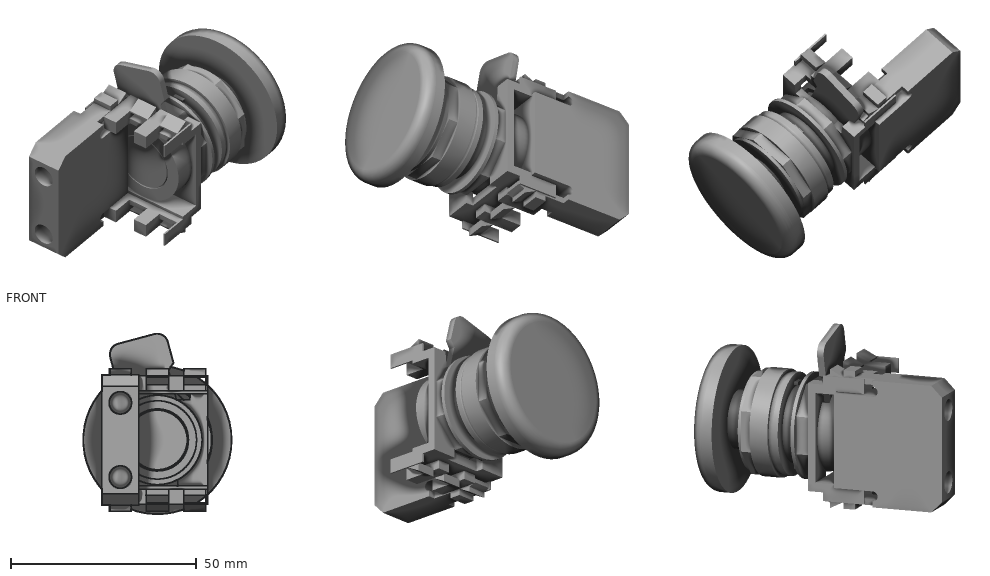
import cadquery as cq
import math


HEAD_BACK = 6.0
BEZEL_FRONT = 11.0
FLATS_FRONT = 11.95
COLLAR_FRONT = 14.8
COLLAR_BACK = 20.0
GASKET_BEVEL_END = 21.2
GASKET_BACK = 22.75
GASKET_TAB_END = 23.8
WASHER_FRONT = 26.55
NUT_FRONT = 27.55
PLATE_FRONT = 31.2
PLATE_BACK = 33.4
LEVER_FRONT = 33.6
LEVER_BACK = 35.5
CATCH_PEAK = 37.4
BLOCK_FRONT = 39.3
CATCH_END = 41.1
TIE_END = 41.3
ARM_END = 47.3
BLOCK_BACK = 70.25

HEAD_RADIUS = 19.985
HEAD_ROUND = 3.0
STEM_RADIUS = 8.0

BEZEL_APOTHEM = 13.5
COLLAR_RADIUS = 14.75
BUSHING_RADIUS = 10.55
BUSHING_BORE = 8.35

GASKET_RADIUS = 14.1
GASKET_BEVEL = 0.35
TAB_WIDTH = 3.2
TAB_OUTER = 12.0
TOP_TAB_INNER = 11.1
BOTTOM_TAB_INNER = BUSHING_RADIUS
WASHER_RADIUS = 14.55
NUT_APOTHEM = 12.6

BRACKET_HALF_WIDTH = 13.5
SHELF_INNER = 12.35
SHELF_OUTER = 14.9
ARM_INNER = 13.3
ARM_OUTER = 17.3
OUTER_FINGER_WIDTH = 0.5
FINGER_INNER_X = 3.0
FINGER_OUTER_X = 7.1
CATCH_BOTTOM = 16.85
CATCH_TOP = 19.2
HUB_RADIUS = 12.0
HUB_FLAT = 10.7
POCKET_FLOOR = 7.0
POCKET_FLOOR_HALF = 7.9
POCKET_TOP_HALF = 9.4
WINDOW_FLOOR = 10.75
WINDOW_FLOOR_HALF = 8.65
WINDOW_TOP_HALF = 9.05
KEYWAY_HALF = math.sqrt(HUB_RADIUS**2 - HUB_FLAT**2)

LEVER_TILT = 15
LEVER_LEFT = -6.5
LEVER_RIGHT = 9.55
LEVER_TOP = 27.75
LEVER_ROUND = 3.0
SHOULDER_TOP = 18.9
SHOULDER_BOTTOM = 17.3
NECK_LEFT = -4.8
NECK_RIGHT = 7.7

BLOCK_WIDTH = 10.0
BLOCK_CENTRE_X = -10.0
BLOCK_HALF_HEIGHT = 17.5
BLOCK_CHAMFER = 3.0
SLOT_INNER = 13.1
SLOT_OUTER = 15.8
SLOT_END = 51.8
TONGUE_LEFT = -12.7
TONGUE_ROOT = 50.3
TONGUE_FRONT = 35.55
NUB_FOOT = 16.9
NUB_TOP = 17.8
HOOK_END = 44.4
HOOK_TOP = 19.1
TERMINAL_RADIUS = 3.0
TERMINAL_OFFSET = 10.0
TERMINAL_DEPTH = 7.0


def at_depth(depth):
    """Sketch plane across the button axis; it extrudes towards -Y."""
    return cq.Workplane("XZ", origin=(0, -depth, 0))


def disc(radius, front, back):
    return at_depth(front).circle(radius).extrude(back - front)


def octagon(apothem, front, back):
    """Octagonal prism with flats facing up, down and to both sides."""
    sides = 8
    corner_radius = apothem / math.cos(math.pi / sides)
    prism = at_depth(front).polygon(sides, 2 * corner_radius).extrude(back - front)
    return prism.rotate((0, 0, 0), (0, 1, 0), 180 / sides)


def slab(x_range, depth_range, z_range):
    """Box given by its limits in X, in depth and in Z."""
    lengths = [abs(end - start) for start, end in (x_range, depth_range, z_range)]
    corner = (min(x_range), -max(depth_range), min(z_range))
    return cq.Workplane("XY").box(*lengths, centered=False).translate(corner)


def side_profile(points, x_range):
    """Prism along X from (depth, z) outline points."""
    outline = [(-depth, z) for depth, z in points]
    plane = cq.Workplane("YZ", origin=(x_range[0], 0, 0))
    return plane.polyline(outline).close().extrude(x_range[1] - x_range[0])


def flared_cut(depth_range, z_range, floor_half, top_half):
    """Trapezoidal prism along the button axis, wider at its top than at its floor."""
    front, back = depth_range
    floor, top = z_range
    outline = [(-floor_half, floor), (floor_half, floor), (top_half, top), (-top_half, top)]
    return at_depth(front).polyline(outline).close().extrude(back - front)


def with_mirror(shape):
    """The shape together with its copy below the button axis."""
    return shape.union(shape.mirror("XY"))


def make_button():
    head = disc(HEAD_RADIUS, 0, HEAD_BACK).faces(">Y").edges().fillet(HEAD_ROUND)
    return head.union(disc(STEM_RADIUS, HEAD_BACK, BLOCK_FRONT))


def make_bezel():
    bezel = disc(BEZEL_APOTHEM, BEZEL_FRONT, FLATS_FRONT)
    bezel = bezel.union(octagon(BEZEL_APOTHEM, FLATS_FRONT, COLLAR_FRONT))
    bezel = bezel.union(disc(COLLAR_RADIUS, COLLAR_FRONT, COLLAR_BACK))
    bezel = bezel.union(disc(BUSHING_RADIUS, COLLAR_BACK, BLOCK_FRONT))
    bezel = bezel.cut(disc(STEM_RADIUS, BEZEL_FRONT, BLOCK_FRONT))
    return bezel.cut(disc(BUSHING_BORE, FLATS_FRONT, BLOCK_FRONT))


def make_gasket():
    bevel_length = GASKET_BEVEL_END - COLLAR_BACK
    ring = disc(GASKET_RADIUS, COLLAR_BACK, GASKET_BACK)
    ring = ring.faces(">Y").chamfer(bevel_length, GASKET_BEVEL)
    tab_x = (-TAB_WIDTH / 2, TAB_WIDTH / 2)
    tab_depth = (GASKET_BACK, GASKET_TAB_END)
    ring = ring.union(slab(tab_x, tab_depth, (TOP_TAB_INNER, TAB_OUTER)))
    ring = ring.union(slab(tab_x, tab_depth, (-TAB_OUTER, -BOTTOM_TAB_INNER)))
    return ring.cut(disc(BUSHING_RADIUS, COLLAR_BACK, GASKET_TAB_END))


def make_washer():
    washer = disc(WASHER_RADIUS, WASHER_FRONT, NUT_FRONT)
    return washer.cut(disc(BUSHING_RADIUS, WASHER_FRONT, NUT_FRONT))


def make_nut():
    nut = octagon(NUT_APOTHEM, NUT_FRONT, PLATE_FRONT)
    return nut.cut(disc(BUSHING_RADIUS, NUT_FRONT, PLATE_FRONT))


def make_bracket_frame():
    """Front plate with a shelf reaching back along its top and bottom edges."""
    frame = slab(
        (-BRACKET_HALF_WIDTH, BRACKET_HALF_WIDTH),
        (PLATE_FRONT, BLOCK_FRONT),
        (-SHELF_OUTER, SHELF_OUTER),
    )
    return frame.cut(
        slab(
            (-BRACKET_HALF_WIDTH, BRACKET_HALF_WIDTH),
            (PLATE_BACK, BLOCK_FRONT),
            (-SHELF_INNER, SHELF_INNER),
        )
    )


def make_upper_arms():
    """Four fingers along the top shelf, joined by a tie bar and by a catch across each gap."""
    wall_inner_x = BRACKET_HALF_WIDTH - OUTER_FINGER_WIDTH
    finger_spans = [
        (-BRACKET_HALF_WIDTH, -wall_inner_x),
        (-FINGER_OUTER_X, -FINGER_INNER_X),
        (FINGER_INNER_X, FINGER_OUTER_X),
        (wall_inner_x, BRACKET_HALF_WIDTH),
    ]
    catch_outline = [
        (CATCH_PEAK, CATCH_BOTTOM),
        (CATCH_PEAK, CATCH_TOP),
        (CATCH_END, ARM_OUTER),
        (CATCH_END, CATCH_BOTTOM),
    ]
    arms = slab(
        (-BRACKET_HALF_WIDTH, BRACKET_HALF_WIDTH),
        (LEVER_BACK, TIE_END),
        (ARM_INNER, SHELF_OUTER),
    )
    for span in finger_spans:
        arms = arms.union(slab(span, (LEVER_BACK, ARM_END), (ARM_INNER, ARM_OUTER)))
    for left, right in zip(finger_spans, finger_spans[1:]):
        arms = arms.union(side_profile(catch_outline, (left[1], right[0])))
    return arms


def make_bracket():
    bracket = make_bracket_frame()
    window = flared_cut(
        (PLATE_FRONT, LEVER_BACK), (WINDOW_FLOOR, SHELF_OUTER), WINDOW_FLOOR_HALF, WINDOW_TOP_HALF
    )
    keyway = slab((-KEYWAY_HALF, KEYWAY_HALF), (PLATE_FRONT, PLATE_BACK), (-SHELF_OUTER, 0))
    bracket = bracket.cut(window).cut(keyway)
    hub = disc(HUB_RADIUS, PLATE_FRONT, BLOCK_FRONT)
    pocket = flared_cut(
        (PLATE_BACK, LEVER_BACK), (POCKET_FLOOR, HUB_RADIUS), POCKET_FLOOR_HALF, POCKET_TOP_HALF
    )
    flat = slab(
        (-HUB_RADIUS, HUB_RADIUS), (PLATE_BACK, LEVER_BACK), (-HUB_RADIUS, -HUB_FLAT)
    )
    hub = hub.cut(pocket).cut(flat)
    bracket = bracket.union(hub)
    bracket = bracket.union(with_mirror(make_upper_arms()))
    return bracket.cut(disc(BUSHING_RADIUS, PLATE_FRONT, BLOCK_FRONT))


def make_lever():
    thickness = LEVER_BACK - LEVER_FRONT
    handle = (
        at_depth(LEVER_FRONT)
        .polyline(
            [
                (NECK_LEFT, 0),
                (NECK_LEFT, SHOULDER_BOTTOM),
                (LEVER_LEFT, SHOULDER_TOP),
                (LEVER_LEFT, LEVER_TOP),
                (LEVER_RIGHT, LEVER_TOP),
                (LEVER_RIGHT, SHOULDER_TOP),
                (NECK_RIGHT, SHOULDER_BOTTOM),
                (NECK_RIGHT, 0),
            ]
        )
        .close()
        .extrude(thickness)
    )
    handle = handle.edges("|Y").edges(">Z").fillet(LEVER_ROUND)
    handle = handle.cut(disc(BUSHING_RADIUS, LEVER_FRONT, LEVER_BACK))
    return handle.rotate((0, 0, 0), (0, 1, 0), -LEVER_TILT)


def make_upper_tongue():
    """Snap tongue: a nub and a hook that sit on either side of a bracket catch."""
    outline = [
        (TONGUE_FRONT, SLOT_OUTER),
        (TONGUE_FRONT, NUB_FOOT),
        (CATCH_PEAK, NUB_TOP),
        (CATCH_PEAK, CATCH_BOTTOM),
        (CATCH_END, CATCH_BOTTOM),
        (CATCH_END, HOOK_TOP),
        (HOOK_END, HOOK_TOP),
        (HOOK_END, BLOCK_HALF_HEIGHT),
        (TONGUE_ROOT, BLOCK_HALF_HEIGHT),
        (TONGUE_ROOT, SLOT_OUTER),
    ]
    return side_profile(outline, (TONGUE_LEFT, -FINGER_OUTER_X))


def make_contact_block():
    block_x = (BLOCK_CENTRE_X - BLOCK_WIDTH / 2, BLOCK_CENTRE_X + BLOCK_WIDTH / 2)
    block = slab(block_x, (BLOCK_FRONT, BLOCK_BACK), (-BLOCK_HALF_HEIGHT, BLOCK_HALF_HEIGHT))
    block = block.faces("<Y").edges("|X").chamfer(BLOCK_CHAMFER)
    slot_radius = (SLOT_OUTER - SLOT_INNER) / 2
    slot_centre = (-(SLOT_END - slot_radius), SLOT_INNER + slot_radius)
    slot_end = (
        cq.Workplane("YZ", origin=(block_x[0], 0, 0))
        .center(*slot_centre)
        .circle(slot_radius)
        .extrude(BLOCK_WIDTH)
    )
    slot = slab(block_x, (BLOCK_FRONT, SLOT_END - slot_radius), (SLOT_INNER, SLOT_OUTER))
    clearance = slab(block_x, (BLOCK_FRONT, TONGUE_ROOT), (SLOT_OUTER, BLOCK_HALF_HEIGHT))
    block = block.cut(with_mirror(slot.union(slot_end).union(clearance)))
    block = block.union(with_mirror(make_upper_tongue()))
    terminals = (
        at_depth(BLOCK_BACK - TERMINAL_DEPTH)
        .pushPoints([(BLOCK_CENTRE_X, -TERMINAL_OFFSET), (BLOCK_CENTRE_X, TERMINAL_OFFSET)])
        .circle(TERMINAL_RADIUS)
        .extrude(TERMINAL_DEPTH)
    )
    return block.cut(terminals)


button = make_button()
bezel = make_bezel()
gasket = make_gasket()
washer = make_washer()
nut = make_nut()
bracket = make_bracket()
lever = make_lever()
contact_block = make_contact_block()

result = cq.Compound.makeCompound(
    [
        button.solids().val(),
        bezel.solids().val(),
        gasket.solids().val(),
        washer.solids().val(),
        nut.solids().val(),
        bracket.solids().val(),
        lever.solids().val(),
        contact_block.solids().val(),
    ]
)